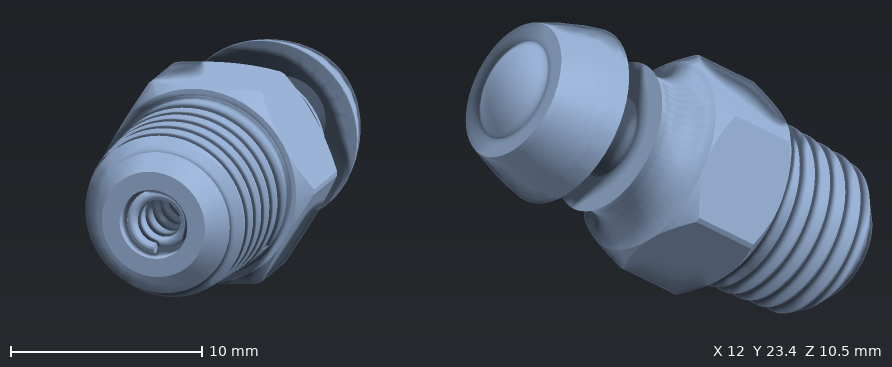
import cadquery as cq
import math

LENGTH = 23.35

HEX_FLATS = 10.5
HEX_CORNERS = 11.97
HEX_BOTTOM = 7.75
HEX_TOP = 13.02
HEX_CHAMFER_HEIGHT = 0.75
COLLAR_TOP = 15.8
COLLAR_RADIUS = 4.2
WAIST_RADIUS = 3.92
WAIST_Y = 14.59
TIP_RADIUS = 2.85

THREAD_PITCH = 1.12
THREAD_TURNS = 7.1
THREAD_TOP = 6.9
THREAD_MAJOR_RADIUS = 4.75
THREAD_DEPTH = 0.8
THREAD_TAPER = 3.6
TURN_GAP = 0.02
GROOVE_OVERCUT = 0.07
FLARE = 0.1
BLANK_EXCESS = 2.8

STEM_RADIUS = 2.25
STEM_END = 7.94
STEM_TIP_RADIUS = 1.07
STEM_TIP_HEIGHT = 0.35
CAP_RIM_Y = 18.75
CAP_RIM_RADIUS = 4.92
CAP_BULGE_RADIUS = 4.53
CAP_BULGE_Y = 20.42
CAP_EDGE_Y = 22.25
CAP_EDGE_RADIUS = 3.87
CAP_SHOULDER_Y = 22.45
CAP_SHOULDER_RADIUS = 3.78
DOME_RADIUS = 2.75
CAP_HOLLOW_DEPTH = 2.8
CAP_RIM_WIDTH = 0.05

BORE_RADIUS = 1.87
SPRING_OUTER_RADIUS = 1.65
WIRE_RADIUS = 0.28
SPRING_TURNS = 6
SPRING_BOTTOM = 0.1
SPRING_START_ANGLE = 90


def revolve_about_y(profile):
    """Turn a closed XY profile (X = radius) a full turn about the Y axis."""
    return profile.close().revolve(360, (0, 0, 0), (0, 1, 0))


def z_axis_to_y(shape):
    """Lay a body built along Z onto the Y axis."""
    return shape.rotate((0, 0, 0), (1, 0, 0), -90)


def make_hexagon():
    """Hexagon with trimmed corners and a conical chamfer at each end."""
    height = HEX_TOP - HEX_BOTTOM
    full_corners = HEX_FLATS / math.cos(math.radians(30))
    hexagon = cq.Workplane("XY").polygon(6, full_corners).extrude(height)
    hexagon = z_axis_to_y(hexagon).translate((0, HEX_BOTTOM, 0))
    face_radius = HEX_FLATS / 2
    corner_radius = HEX_CORNERS / 2
    envelope = revolve_about_y(
        cq.Workplane("XY")
        .moveTo(0, HEX_BOTTOM)
        .lineTo(face_radius, HEX_BOTTOM)
        .lineTo(corner_radius, HEX_BOTTOM + HEX_CHAMFER_HEIGHT)
        .lineTo(corner_radius, HEX_TOP - HEX_CHAMFER_HEIGHT)
        .lineTo(face_radius, HEX_TOP)
        .lineTo(0, HEX_TOP)
    )
    return hexagon.intersect(envelope)


def make_collar():
    """Flared collar above the hexagon, waisted by a concave arc."""
    return revolve_about_y(
        cq.Workplane("XY")
        .moveTo(0, HEX_TOP)
        .lineTo(HEX_FLATS / 2, HEX_TOP)
        .threePointArc((WAIST_RADIUS, WAIST_Y), (COLLAR_RADIUS, COLLAR_TOP))
        .lineTo(0, COLLAR_TOP)
    )


def make_thread_groove():
    """V groove swept along a tapered helix that starts in the +X direction."""
    slope = math.tan(math.radians(THREAD_TAPER))
    height = THREAD_TURNS * THREAD_PITCH
    top_root_radius = THREAD_MAJOR_RADIUS - THREAD_DEPTH
    start_radius = top_root_radius - height * slope
    half_width = (THREAD_PITCH - TURN_GAP) / 2
    outer_radius = start_radius + THREAD_DEPTH + GROOVE_OVERCUT
    tilt = half_width * slope
    helix = cq.Wire.makeHelix(THREAD_PITCH, height, start_radius, angle=THREAD_TAPER)
    groove = (
        cq.Workplane("XZ")
        .moveTo(start_radius, 0)
        .lineTo(outer_radius + tilt, half_width)
        .lineTo(outer_radius - tilt, -half_width)
        .close()
        .sweep(cq.Workplane(obj=helix), isFrenet=True)
    )
    return z_axis_to_y(groove).translate((0, THREAD_TOP - height, 0))


def make_threaded_shank():
    """Threaded taper, trimmed to length and to the chamfered tip."""
    slope = math.tan(math.radians(THREAD_TAPER))
    blank_bottom = -BLANK_EXCESS
    bottom_radius = THREAD_MAJOR_RADIUS - (THREAD_TOP - blank_bottom) * slope
    top_radius = THREAD_MAJOR_RADIUS + (HEX_BOTTOM - FLARE - THREAD_TOP) * slope
    blank = revolve_about_y(
        cq.Workplane("XY")
        .moveTo(0, blank_bottom)
        .lineTo(bottom_radius, blank_bottom)
        .lineTo(top_radius, HEX_BOTTOM - FLARE)
        .lineTo(top_radius + FLARE, HEX_BOTTOM)
        .lineTo(0, HEX_BOTTOM)
    )
    trim_radius = HEX_FLATS / 2
    envelope = revolve_about_y(
        cq.Workplane("XY")
        .lineTo(TIP_RADIUS, 0)
        .lineTo(trim_radius, trim_radius - TIP_RADIUS)
        .lineTo(trim_radius, HEX_BOTTOM)
        .lineTo(0, HEX_BOTTOM)
    )
    return blank.cut(make_thread_groove()).intersect(envelope)


def make_bore():
    """Stepped through bore: spring below, stem above."""
    return revolve_about_y(
        cq.Workplane("XY")
        .lineTo(BORE_RADIUS, 0)
        .lineTo(BORE_RADIUS, STEM_END)
        .lineTo(STEM_RADIUS, STEM_END)
        .lineTo(STEM_RADIUS, COLLAR_TOP)
        .lineTo(0, COLLAR_TOP)
    )


def make_housing():
    outside = make_threaded_shank().union(make_hexagon()).union(make_collar())
    return outside.cut(make_bore()).solids()


def make_plunger():
    """Stem with a rounded lower tip and a cap hollowed from below."""
    dome_height = LENGTH - CAP_SHOULDER_Y
    dome_sphere = (DOME_RADIUS**2 + dome_height**2) / (2 * dome_height)
    half_angle = math.asin(DOME_RADIUS / dome_sphere) / 2
    dome_middle = (
        dome_sphere * math.sin(half_angle),
        LENGTH - dome_sphere * (1 - math.cos(half_angle)),
    )
    hollow_top = CAP_RIM_Y + CAP_HOLLOW_DEPTH
    hollow_rim_radius = CAP_RIM_RADIUS - CAP_RIM_WIDTH
    return revolve_about_y(
        cq.Workplane("XY")
        .moveTo(0, STEM_END - STEM_TIP_HEIGHT)
        .lineTo(STEM_TIP_RADIUS, STEM_END)
        .lineTo(STEM_RADIUS, STEM_END)
        .lineTo(STEM_RADIUS, hollow_top)
        .lineTo(hollow_rim_radius, CAP_RIM_Y)
        .lineTo(CAP_RIM_RADIUS, CAP_RIM_Y)
        .threePointArc((CAP_BULGE_RADIUS, CAP_BULGE_Y), (CAP_EDGE_RADIUS, CAP_EDGE_Y))
        .lineTo(CAP_SHOULDER_RADIUS, CAP_SHOULDER_Y)
        .lineTo(DOME_RADIUS, CAP_SHOULDER_Y)
        .threePointArc(dome_middle, (0, LENGTH))
    )


def make_spring():
    """Round-wire coil spring reaching from the bore mouth to the stem."""
    coil_radius = SPRING_OUTER_RADIUS - WIRE_RADIUS
    coil_height = STEM_END - SPRING_BOTTOM - 2 * WIRE_RADIUS
    helix = cq.Wire.makeHelix(coil_height / SPRING_TURNS, coil_height, coil_radius)
    spring = (
        cq.Workplane("XZ")
        .center(coil_radius, 0)
        .circle(WIRE_RADIUS)
        .sweep(cq.Workplane(obj=helix), isFrenet=True)
    )
    spring = z_axis_to_y(spring).rotate((0, 0, 0), (0, 1, 0), SPRING_START_ANGLE)
    return spring.translate((0, SPRING_BOTTOM + WIRE_RADIUS, 0))


housing = make_housing()
plunger = make_plunger()
spring = make_spring()

result = cq.Compound.makeCompound([housing.val(), plunger.val(), spring.val()])